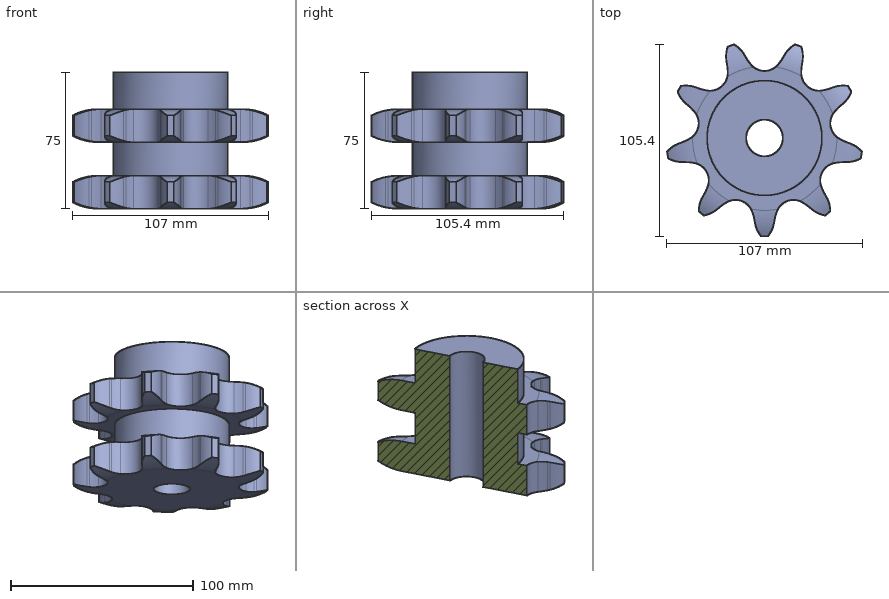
import cadquery as cq
import math

TOOTH_COUNT = 9
CHAIN_PITCH = 31.8
ROLLER_DIAMETER = 19.0
TIP_RADIUS = 54.0
DISC_THICKNESS = 18.2
STRAND_SPACING = 36.5
TOTAL_HEIGHT = 75.0
HUB_DIAMETER = 63.0
BORE_DIAMETER = 20.0
RELIEF_START_RADIUS = 39.6
RELIEF_ARC_RADIUS = CHAIN_PITCH
RIM_CLEARANCE = 1.1

TOOTH_ANGLE = 360 / TOOTH_COUNT
PITCH_RADIUS = CHAIN_PITCH / (2 * math.sin(math.pi / TOOTH_COUNT))
SEAT_RADIUS = 0.505 * ROLLER_DIAMETER
SEAT_END_ANGLE = 35 + 60 / TOOTH_COUNT
FLANK_SWEEP = 18 - 56 / TOOTH_COUNT
FLANK_CENTRE_OFFSET = 0.8 * ROLLER_DIAMETER
TIP_CURVE_CENTRE_OFFSET = 1.4 * ROLLER_DIAMETER


def offset(point, distance, degrees):
    """Point at a distance from another point in a given direction."""
    angle = math.radians(degrees)
    return (point[0] + distance * math.cos(angle), point[1] + distance * math.sin(angle))


def rotate(point, degrees):
    """Point turned about the sprocket axis."""
    return offset((0, 0), math.hypot(*point), degrees + math.degrees(math.atan2(point[1], point[0])))


def mirror(point):
    """Point reflected across the centreline of the tooth gap."""
    return (-point[0], point[1])


def half_gap_points():
    """Right half of the tooth gap centred on +Y, from the gap bottom out to the tooth tip."""
    roller_centre = (0, PITCH_RADIUS)
    gap_bottom = offset(roller_centre, SEAT_RADIUS, -90)
    seat_end = offset(roller_centre, SEAT_RADIUS, -SEAT_END_ANGLE)

    flank_centre = offset(roller_centre, -FLANK_CENTRE_OFFSET, -SEAT_END_ANGLE)
    flank_radius = FLANK_CENTRE_OFFSET + SEAT_RADIUS
    flank_middle = offset(flank_centre, flank_radius, FLANK_SWEEP / 2 - SEAT_END_ANGLE)
    flank_end_angle = FLANK_SWEEP - SEAT_END_ANGLE
    flank_end = offset(flank_centre, flank_radius, flank_end_angle)

    curve_centre = offset(roller_centre, TIP_CURVE_CENTRE_OFFSET, -TOOTH_ANGLE / 2)
    normal = offset((0, 0), 1, flank_end_angle)
    dx = curve_centre[0] - flank_end[0]
    dy = curve_centre[1] - flank_end[1]
    curve_radius = dx * normal[0] + dy * normal[1]
    curve_start = offset(curve_centre, -curve_radius, flank_end_angle)

    centre_distance = math.hypot(*curve_centre)
    squares = centre_distance**2 + curve_radius**2 - TIP_RADIUS**2
    corner_cosine = squares / (2 * centre_distance * curve_radius)
    inward_angle = 180 + math.degrees(math.atan2(curve_centre[1], curve_centre[0]))
    tip_angle = inward_angle - math.degrees(math.acos(corner_cosine))
    curve_middle = offset(curve_centre, curve_radius, (180 + flank_end_angle + tip_angle) / 2)
    tip_corner = offset(curve_centre, curve_radius, tip_angle)
    return gap_bottom, seat_end, flank_middle, flank_end, curve_start, curve_middle, tip_corner


def toothed_plate():
    """Full-thickness plate with the sprocket tooth outline, standing on Z = 0."""
    gap_bottom, seat_end, flank_middle, flank_end, curve_start, curve_middle, tip_corner = half_gap_points()
    outline = cq.Workplane("XY").moveTo(*mirror(tip_corner))
    for index in range(TOOTH_COUNT):
        turn = -index * TOOTH_ANGLE

        def right(point):
            return rotate(point, turn)

        def left(point):
            return rotate(mirror(point), turn)

        outline = (
            outline.threePointArc(left(curve_middle), left(curve_start))
            .lineTo(*left(flank_end))
            .threePointArc(left(flank_middle), left(seat_end))
            .threePointArc(right(gap_bottom), right(seat_end))
            .threePointArc(right(flank_middle), right(flank_end))
            .lineTo(*right(curve_start))
            .threePointArc(right(curve_middle), right(tip_corner))
        )
        tooth_tip = offset((0, 0), TIP_RADIUS, 90 + turn - TOOTH_ANGLE / 2)
        next_corner = rotate(mirror(tip_corner), turn - TOOTH_ANGLE)
        outline = outline.threePointArc(tooth_tip, next_corner)
    return outline.close().extrude(DISC_THICKNESS)


def relief_blank():
    """Round disc whose faces curve in towards the rim, standing on Z = 0."""
    rim_radius = TIP_RADIUS + RIM_CLEARANCE

    def depth_at(radius):
        run = radius - RELIEF_START_RADIUS
        return RELIEF_ARC_RADIUS - math.sqrt(RELIEF_ARC_RADIUS**2 - run**2)

    middle_radius = (RELIEF_START_RADIUS + rim_radius) / 2
    middle_depth = depth_at(middle_radius)
    rim_depth = depth_at(rim_radius)
    return (
        cq.Workplane("XZ")
        .lineTo(RELIEF_START_RADIUS, 0)
        .threePointArc((middle_radius, middle_depth), (rim_radius, rim_depth))
        .lineTo(rim_radius, DISC_THICKNESS - rim_depth)
        .threePointArc(
            (middle_radius, DISC_THICKNESS - middle_depth),
            (RELIEF_START_RADIUS, DISC_THICKNESS),
        )
        .lineTo(0, DISC_THICKNESS)
        .close()
        .revolve(360, (0, 0, 0), (0, 1, 0))
    )


tooth_disc = toothed_plate().intersect(relief_blank())
hub = cq.Workplane("XY").circle(HUB_DIAMETER / 2).extrude(TOTAL_HEIGHT)
bore = cq.Workplane("XY").circle(BORE_DIAMETER / 2).extrude(TOTAL_HEIGHT)

result = hub.union(tooth_disc).union(tooth_disc.translate((0, 0, STRAND_SPACING))).cut(bore)